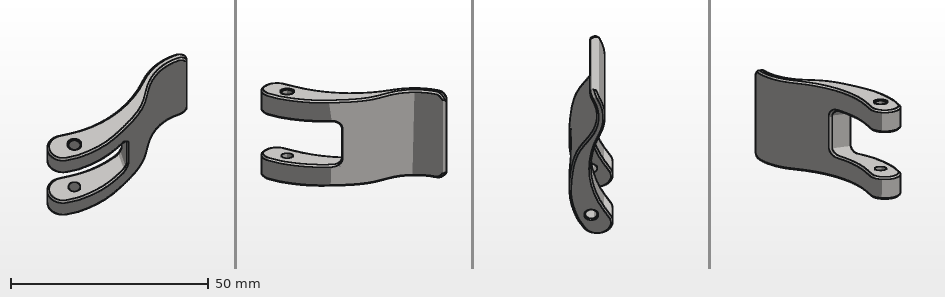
import cadquery as cq
import math

width = 24.0
chamfer = 0.5

pivot_radius = 4.0
pivot_straight = 3.0
hole_diameter = 3.0
hole_chamfer = 0.3

tip_radius = 1.0
tip_x = -20.0
tip_y = 34.0
tip_corner_radius = 2.5

near_tip_radius = 15.0
near_body_radius = 27.5
far_tip_radius = 12.5
far_bend_y = 23.7
far_body_points = [(-8.0, 20.6), (-1.4, 13.4)]
far_body_lean = 8.0

slot_width = 12.0
slot_end_y = 14.55
slot_corner_radius = 2.0


tolerance = 0.01
slab_size = 100.0


def point_on_circle(center, radius, angle):
    """Point at the given angle (radians) on a circle in the XY plane."""
    return (center[0] + radius * math.cos(angle), center[1] + radius * math.sin(angle))


def make_blade():
    """S-shaped lever with a square tip, extruded over the full width."""
    near_tip_center = (tip_x - tip_radius + near_tip_radius, tip_y)
    near_body_center = (-pivot_radius - near_body_radius, 0)
    near_angle = math.atan2(tip_y, near_tip_center[0] - near_body_center[0])
    near_bend = point_on_circle(near_body_center, near_body_radius, near_angle)
    near_body_mid = point_on_circle(near_body_center, near_body_radius, near_angle / 2)
    near_tip_mid = point_on_circle(near_tip_center, near_tip_radius, math.pi + near_angle / 2)

    far_tip_center = (tip_x + tip_radius + far_tip_radius, tip_y)
    far_angle = math.asin((tip_y - far_bend_y) / far_tip_radius)
    far_bend = point_on_circle(far_tip_center, far_tip_radius, math.pi + far_angle)
    far_bend_direction = (math.sin(far_angle), -math.cos(far_angle))
    lean = math.radians(far_body_lean)
    far_end_direction = (math.sin(lean), -math.cos(lean))
    far_tip_mid = point_on_circle(far_tip_center, far_tip_radius, math.pi + far_angle / 2)

    return (
        cq.Workplane("XY", origin=(0, 0, -width / 2))
        .moveTo(-pivot_radius, 0)
        .threePointArc(near_body_mid, near_bend)
        .threePointArc(near_tip_mid, (tip_x - tip_radius, tip_y))
        .lineTo(tip_x - tip_radius, tip_y + tip_radius)
        .lineTo(tip_x + tip_radius, tip_y + tip_radius)
        .lineTo(tip_x + tip_radius, tip_y)
        .threePointArc(far_tip_mid, far_bend)
        .spline(
            far_body_points + [(pivot_radius, 0)],
            tangents=[far_bend_direction, far_end_direction],
            includeCurrent=True,
        )
        .lineTo(pivot_radius, -pivot_straight)
        .threePointArc((0, -pivot_straight - pivot_radius), (-pivot_radius, -pivot_straight))
        .close()
        .extrude(width)
    )


def make_rounded_slab(height, end_y, corner_radius):
    """Slab across the whole part that stops at end_y with two rounded corners."""
    return (
        cq.Workplane("XY")
        .box(slab_size, slab_size, height)
        .translate((0, end_y - slab_size / 2, 0))
        .edges(">Y and |X")
        .fillet(corner_radius)
    )


def is_across(edge):
    """True for a straight edge along X."""
    return edge.geomType() == "LINE" and abs(edge.tangentAt(0).x) > 0.99


def is_vertical(edge):
    """True for a straight edge along Z."""
    return edge.geomType() == "LINE" and abs(edge.tangentAt(0).z) > 0.99


def chamfer_outline(body):
    """Break the outline on both faces of the lever, round the tip corners and over the tip."""
    top_y = tip_y + tip_radius
    outline = []
    for edge in body.edges().vals():
        on_tip = abs(edge.Center().y - top_y) < tolerance
        if is_across(edge) or (is_vertical(edge) and not on_tip):
            continue
        outline.append(edge)
    return body.newObject(outline).chamfer(chamfer)


def round_tip(body):
    """Turn the square tip into a full round along Z."""
    tip_base = cq.Workplane("XY", origin=(tip_x, tip_y, -width / 2))
    square_end = tip_base.center(0, tip_radius).rect(2 * tip_radius, 2 * tip_radius).extrude(width)
    round_end = tip_base.circle(tip_radius).extrude(width)
    return body.cut(square_end.cut(round_end))


def cut_slot(body):
    """Split the pivot end into two arms and break the edges of the slot."""
    slotted = body.cut(make_rounded_slab(slot_width, slot_end_y, slot_corner_radius))
    rim = []
    for edge in slotted.edges().vals():
        center = edge.Center()
        on_slot = abs(center.z) < slot_width / 2 + tolerance and center.y < slot_end_y + tolerance
        if on_slot and not is_across(edge):
            rim.append(edge)
    return slotted.newObject(rim).chamfer(chamfer)


def drill_pivot(body):
    """Pivot hole through both arms, countersunk on the outer faces."""
    hole = cq.Workplane("XY").circle(hole_diameter / 2).extrude(width / 2, both=True)
    countersink = (
        cq.Workplane("XY", origin=(0, 0, width / 2))
        .circle(hole_diameter / 2 + hole_chamfer)
        .extrude(-hole_chamfer, taper=45)
    )
    return body.cut(hole).cut(countersink).cut(countersink.mirror("XY"))


lever_envelope = make_rounded_slab(width, tip_y + tip_radius, tip_corner_radius)
result = make_blade().intersect(lever_envelope)
result = chamfer_outline(result)
result = round_tip(result)
result = cut_slot(result)
result = drill_pivot(result)